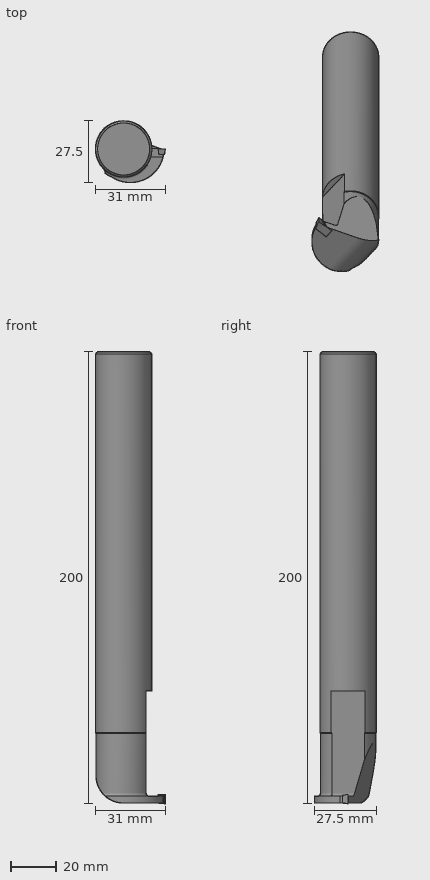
import cadquery as cq
import math

total_length = 200
total_width = 31.0
total_depth = 27.5
shank_radius = 25.0 / 2
end_chamfer = 1.0

neck_top = 31.5
neck_step = 0.2
neck_taper = 0.5
neck_radius = shank_radius - neck_step
bar_bottom = 0.3

flat_x = 10.0
flat_top = 50.0

blade_offset = 3.0
blade_radius = total_depth - shank_radius
blade_top = 3.5
blade_blend = 1.2
blend_mid = blade_blend * (1 - math.sqrt(0.5))

relief_turn = 20
relief_lean = 15.5
relief_foot = 4.8

seat_back = -3.5
seat_front = 0.2
tip_inner_x = 15.2
tip_outer_x = total_width - shank_radius
tip_top = 4.2
tip_depth = 2.5
tip_side_clearance = 0.5
tip_top_clearance = 0.5

cut_size = 2 * total_length


def make_blade():
    """Full round plate at the foot of the neck."""
    return (
        cq.Workplane("XY", origin=(blade_offset, 0, bar_bottom))
        .circle(blade_radius)
        .extrude(blade_top - bar_bottom)
    )


def make_turned_bar():
    """Shank, neck and the fillet foot of the neck, turned about Z."""
    foot_radius = neck_radius + blade_blend
    return (
        cq.Workplane("XZ")
        .moveTo(0, bar_bottom)
        .lineTo(foot_radius, bar_bottom)
        .lineTo(foot_radius, blade_top)
        .threePointArc(
            (neck_radius + blend_mid, blade_top + blend_mid),
            (neck_radius, blade_top + blade_blend),
        )
        .lineTo(neck_radius, neck_top - neck_taper)
        .lineTo(shank_radius, neck_top)
        .lineTo(shank_radius, total_length - end_chamfer)
        .lineTo(shank_radius - end_chamfer, total_length)
        .lineTo(0, total_length)
        .close()
        .revolve(360, (0, 0, 0), (0, 1, 0))
    )


def make_flat_cut():
    """Space beside the flat, with the blend into the blade left standing."""
    x_end = cut_size / 2
    return (
        cq.Workplane("XZ")
        .moveTo(flat_x, flat_top)
        .lineTo(flat_x, blade_top + blade_blend)
        .threePointArc(
            (flat_x + blend_mid, blade_top + blend_mid),
            (flat_x + blade_blend, blade_top),
        )
        .lineTo(x_end, blade_top)
        .lineTo(x_end, flat_top)
        .close()
        .extrude(cut_size / 2, both=True)
    )


def make_relief_cut():
    """Half space beyond the leaning relief plane."""
    return (
        cq.Workplane("XY")
        .box(cut_size, cut_size, cut_size, centered=(True, False, True))
        .rotate((0, 0, 0), (1, 0, 0), -relief_lean)
        .translate((0, relief_foot, 0))
        .rotate((0, 0, 0), (0, 0, 1), -relief_turn)
    )


def make_heel_cut():
    """Corner below the rounded heel on the -X side."""
    heel_z = bar_bottom + neck_radius
    mid = neck_radius * math.sqrt(0.5)
    far = -cut_size / 2
    return (
        cq.Workplane("XZ")
        .moveTo(-neck_radius, heel_z)
        .threePointArc((-mid, heel_z - mid), (0, bar_bottom))
        .lineTo(0, far)
        .lineTo(far, far)
        .lineTo(far, heel_z)
        .close()
        .extrude(cut_size / 2, both=True)
    )


def make_insert():
    """Seated body, bounded by the rim of the blade, with the tapered tip."""
    seat = (
        cq.Workplane("XY")
        .box(cut_size, seat_front - seat_back, cut_size, centered=(False, False, True))
        .translate((flat_x + blade_blend, seat_back, 0))
    )
    ahead_of_tip = (
        cq.Workplane("XY")
        .box(cut_size, cut_size, cut_size, centered=(False, False, True))
        .translate((tip_inner_x, 0, 0))
    )
    body = make_blade().intersect(seat).cut(ahead_of_tip)
    tip = (
        cq.Workplane("XZ")
        .moveTo(tip_inner_x, bar_bottom)
        .lineTo(tip_outer_x, 0)
        .lineTo(tip_outer_x, tip_top)
        .lineTo(tip_inner_x, tip_top)
        .close()
        .workplane(offset=tip_depth)
        .moveTo(tip_inner_x + tip_side_clearance, bar_bottom)
        .lineTo(tip_outer_x - tip_side_clearance, bar_bottom)
        .lineTo(tip_outer_x - tip_side_clearance, tip_top - tip_top_clearance)
        .lineTo(tip_inner_x + tip_side_clearance, tip_top - tip_top_clearance)
        .close()
        .loft(ruled=True)
    )
    return body.union(tip)


def make_bar(insert):
    """Bar with its blade, cleared on three sides and pocketed for the insert."""
    return (
        make_turned_bar()
        .union(make_blade())
        .cut(make_flat_cut())
        .cut(make_relief_cut())
        .cut(make_heel_cut())
        .cut(insert)
    )


insert = make_insert()
bar = make_bar(insert)

result = cq.Compound.makeCompound([bar.val(), insert.val()])